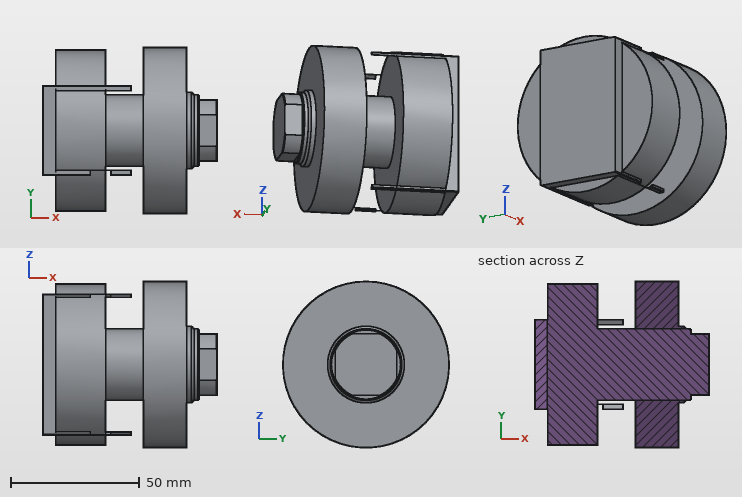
import cadquery as cq


bracket_width = 35.0
bracket_height = 55.0
bracket_length = 34.4
bracket_edge_chamfer = 0.3
bore_clearance = 0.05
plate_thickness = 5.0
notch_start = 18.5
notch_end = 26.5
notch_depth = 2.0

flange_radius = 31.5
flange_thickness = 19.5
flange_end = plate_thickness + flange_thickness
shaft_radius = 14.0
shaft_end = 61.0
shaft_chamfer = 0.5
drive_radius = 13.5
drive_across_flats = 24.0
drive_end = 68.0
drive_chamfer = 0.3

wheel_radius = 32.5
wheel_start = 39.25
wheel_end = 56.1
hub_radius = 15.0
hub_end = 59.0
hub_chamfer = hub_radius - shaft_radius


def cylinder(radius, start, end):
    """Cylinder along X between two X positions."""
    start_plane = cq.Plane(origin=(start, 0, 0), xDir=(0, 0, 1), normal=(1, 0, 0))
    return cq.Workplane(start_plane).circle(radius).extrude(end - start)


def block(width, height, start, end):
    """Rectangular block along X, centred on the axis."""
    return cq.Workplane("YZ").workplane(offset=start).rect(width, height).extrude(end - start)


def make_bracket():
    body = block(bracket_width, bracket_height, 0, bracket_length)
    body = body.edges("|X").chamfer(bracket_edge_chamfer)
    body = body.cut(cylinder(flange_radius + bore_clearance, plate_thickness, bracket_length))
    notch = block(2 * notch_depth, bracket_height, notch_start, notch_end)
    return body.cut(notch.translate((0, -bracket_width / 2, 0)))


def make_spindle():
    flange = cylinder(flange_radius, plate_thickness, flange_end)
    shaft = cylinder(shaft_radius, flange_end, shaft_end).faces(">X").chamfer(shaft_chamfer)
    drive = cylinder(drive_radius, shaft_end, drive_end).faces(">X").chamfer(drive_chamfer)
    drive = drive.intersect(block(drive_across_flats, drive_across_flats, shaft_end, drive_end))
    return flange.union(shaft).union(drive)


def make_wheel():
    half_section = (
        cq.Workplane("XZ")
        .moveTo(wheel_start, shaft_radius)
        .lineTo(wheel_start, wheel_radius)
        .lineTo(wheel_end, wheel_radius)
        .lineTo(wheel_end, hub_radius)
        .lineTo(hub_end - hub_chamfer, hub_radius)
        .lineTo(hub_end, shaft_radius)
        .close()
    )
    return half_section.revolve(360, (0, 0, 0), (1, 0, 0))


bracket = make_bracket()
spindle = make_spindle()
wheel = make_wheel()

result = cq.Compound.makeCompound([bracket.val(), spindle.val(), wheel.val()])